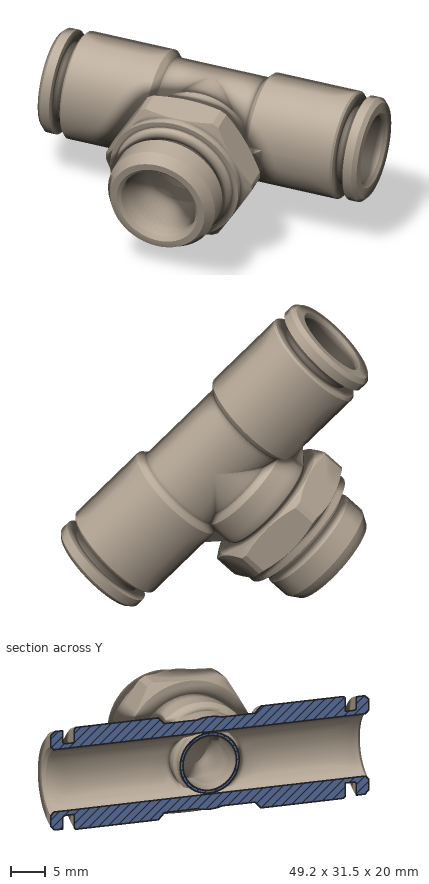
import math

import cadquery as cq


run_half_length = 24.6
socket_radius = 16.0 / 2
socket_end_x = 21.0
socket_end_chamfer = 0.3
socket_inner_x = 7.95
waist_radius = 14.1 / 2
run_bore_radius = 10.15 / 2

collar_radius = 15.5 / 2
collar_back_x = 22.65
collar_chamfer = 0.6
collar_neck_radius = 11.62 / 2
collar_neck_taper_length = 0.25
collar_neck_taper_height = 0.15
collar_lead_in = 0.5

barrel_radius = socket_radius
barrel_shoulder_y = -5.04
barrel_shoulder_end_y = barrel_shoulder_y - (barrel_radius - waist_radius)
barrel_end_y = -10.1
barrel_end_chamfer = 0.3

gusset_top_y = -6.5
gusset_root_half_width = 1.7
gusset_root_y = -7.9
gusset_tip_half_width = 1.35
gusset_reach = barrel_radius - barrel_end_y

hex_top_y = -10.5
hex_bottom_y = -15.5
hex_across_flats = 20.0
hex_corner_radius = 22.5 / 2
hex_end_radius = 19.8 / 2
hex_chamfer_angle = math.radians(30)
hex_chamfer_length = (hex_corner_radius - hex_end_radius) * math.tan(hex_chamfer_angle)

washer_radius = hex_end_radius
washer_bottom_y = -16.6
seal_section_radius = 0.95
seal_outer_radius = 9.0
undercut_radius = 14.5 / 2
undercut_end_y = -17.7
thread_radius = 16.5 / 2
thread_start_y = undercut_end_y - (thread_radius - undercut_radius)
thread_end_y = -21.8
tip_radius = 14.5 / 2
tip_y = -23.5

stem_end_y = -1.93
stem_end_radius = 4.6
stem_radius = 10.2 / 2
stem_step_y = -3.1
stem_step_length = 0.3
stem_bore_radius = 8.2 / 2

branch_bore_radius = 11.5 / 2
branch_bore_end_y = -14.0
branch_bore_chamfer = 0.5
drill_half_angle = math.radians(59)


def revolve_about_x(points):
    """Turn a profile of (x, radius) points around the X axis."""
    return cq.Workplane("XY").polyline(points).close().revolve(360, (0, 0, 0), (1, 0, 0))


def revolve_about_y(points):
    """Turn a profile of (radius, y) points around the Y axis."""
    return cq.Workplane("XY").polyline(points).close().revolve(360, (0, 0, 0), (0, 1, 0))


def y_cylinder(radius, top_y, bottom_y):
    return revolve_about_y([(0, top_y), (radius, top_y), (radius, bottom_y), (0, bottom_y)])


def make_half_run():
    """The +X half of the run: waist, socket, collar neck and collar flange."""
    waist_end_x = socket_inner_x - (socket_radius - waist_radius)
    neck_taper_radius = collar_neck_radius + collar_neck_taper_height
    return revolve_about_x([
        (0, 0),
        (0, waist_radius),
        (waist_end_x, waist_radius),
        (socket_inner_x, socket_radius),
        (socket_end_x - socket_end_chamfer, socket_radius),
        (socket_end_x, socket_radius - socket_end_chamfer),
        (socket_end_x, collar_neck_radius),
        (collar_back_x - collar_neck_taper_length, collar_neck_radius),
        (collar_back_x, neck_taper_radius),
        (collar_back_x, collar_radius),
        (run_half_length - collar_chamfer, collar_radius),
        (run_half_length, collar_radius - collar_chamfer),
        (run_half_length, 0),
    ])


def make_run():
    half = make_half_run()
    return half.union(half.mirror("YZ"))


def make_run_bore():
    """Through bore of the run with a conical lead-in at both collars."""
    lead_in_radius = run_bore_radius + collar_lead_in
    lead_in_x = run_half_length - collar_lead_in
    return revolve_about_x([
        (-run_half_length, 0),
        (-run_half_length, lead_in_radius),
        (-lead_in_x, run_bore_radius),
        (lead_in_x, run_bore_radius),
        (run_half_length, lead_in_radius),
        (run_half_length, 0),
    ])


def make_barrel():
    return revolve_about_y([
        (0, 0),
        (waist_radius, 0),
        (waist_radius, barrel_shoulder_y),
        (barrel_radius, barrel_shoulder_end_y),
        (barrel_radius, barrel_end_y),
        (barrel_radius - barrel_end_chamfer, hex_top_y),
        (0, hex_top_y),
    ])


def make_gussets():
    """Tapered web along X, cut to 45 degree ends on both sides."""
    taper = (gusset_root_half_width - gusset_tip_half_width) / (gusset_root_y - barrel_end_y)
    top_half_width = gusset_tip_half_width + taper * (gusset_top_y - barrel_end_y)
    top_half_length = gusset_reach + gusset_top_y
    web = (
        cq.Workplane("YZ")
        .polyline([
            (gusset_top_y, -top_half_width),
            (barrel_end_y, -gusset_tip_half_width),
            (barrel_end_y, gusset_tip_half_width),
            (gusset_top_y, top_half_width),
        ])
        .close()
        .extrude(top_half_length, both=True)
    )
    side_outline = (
        cq.Workplane("XY")
        .polyline([
            (-top_half_length, gusset_top_y),
            (-barrel_radius, barrel_end_y),
            (barrel_radius, barrel_end_y),
            (top_half_length, gusset_top_y),
        ])
        .close()
        .extrude(top_half_width, both=True)
    )
    return web.intersect(side_outline)


def make_hexagon():
    """Hexagonal collar with cylindrical corners and chamfered ends."""
    across_corners = hex_across_flats / math.cos(math.pi / 6)
    prism = (
        cq.Workplane("XZ", origin=(0, hex_top_y, 0))
        .polygon(6, across_corners)
        .extrude(hex_top_y - hex_bottom_y)
    )
    envelope = revolve_about_y([
        (0, hex_top_y),
        (hex_end_radius, hex_top_y),
        (hex_corner_radius, hex_top_y - hex_chamfer_length),
        (hex_corner_radius, hex_bottom_y + hex_chamfer_length),
        (hex_end_radius, hex_bottom_y),
        (0, hex_bottom_y),
    ])
    return prism.intersect(envelope)


def make_seal_ring():
    """Round-section ring half sunk into the washer face."""
    section_center_radius = seal_outer_radius - seal_section_radius
    return (
        cq.Workplane("XY")
        .moveTo(section_center_radius, washer_bottom_y)
        .circle(seal_section_radius)
        .revolve(360, (0, 0, 0), (0, 1, 0))
    )


def make_threaded_end():
    return revolve_about_y([
        (0, hex_bottom_y),
        (undercut_radius, hex_bottom_y),
        (undercut_radius, undercut_end_y),
        (thread_radius, thread_start_y),
        (thread_radius, thread_end_y),
        (tip_radius, tip_y),
        (0, tip_y),
    ])


def make_stem():
    """Stepped tube end that crosses the lower part of the run bore."""
    return revolve_about_y([
        (0, stem_end_y),
        (stem_end_radius, stem_end_y),
        (stem_end_radius, stem_step_y),
        (stem_radius, stem_step_y - stem_step_length),
        (stem_radius, barrel_end_y),
        (0, barrel_end_y),
    ])


def make_branch_bore():
    """Wide bore from the tip, narrowing by a drill-point cone to the stem bore."""
    cone_length = (branch_bore_radius - stem_bore_radius) / math.tan(drill_half_angle)
    cone_end_y = branch_bore_end_y + cone_length
    return revolve_about_y([
        (0, stem_end_y),
        (stem_bore_radius, stem_end_y),
        (stem_bore_radius, cone_end_y),
        (branch_bore_radius, branch_bore_end_y),
        (branch_bore_radius, tip_y + branch_bore_chamfer),
        (branch_bore_radius + branch_bore_chamfer, tip_y),
        (0, tip_y),
    ])


body = make_run().union(make_barrel()).union(make_gussets()).cut(make_run_bore())
connector = (
    make_hexagon()
    .union(y_cylinder(washer_radius, hex_bottom_y, washer_bottom_y))
    .union(make_threaded_end())
    .union(make_seal_ring())
    .union(make_stem())
)
result = body.union(connector).cut(make_branch_bore())